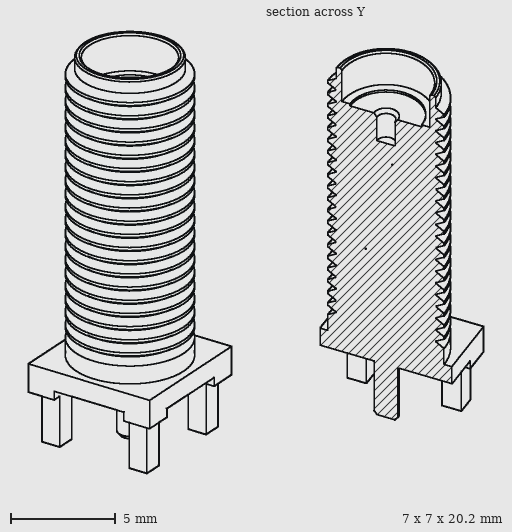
import cadquery as cq

total_height = 20.25
base_width = 7.0
base_bottom = 2.71
base_top = 4.23

relief_width = 4.0
relief_roof_thickness = 1.05
leg_size = 1.03

thread_diameter = 6.2
neck_diameter = 5.3
collar_height = 0.95
neck_length = 0.7
crest_width = 0.16
ridge_count = 20
collar_top = base_top + collar_height
neck_bottom = total_height - neck_length
thread_pitch = (neck_bottom - collar_top + crest_width / 2) / (ridge_count + 0.5)
flank_height = (thread_pitch - crest_width) / 2
rim_chamfer_height = 0.1
rim_chamfer_width = 0.08

bore_diameter = 4.65
bore_depth = 1.98
mouth_chamfer = 0.1
seat_diameter = 3.8
seat_depth = 0.12

pin_diameter = 1.28
tip_diameter = 0.95
tip_chamfer_height = 0.2
tip_chamfer_width = (pin_diameter - tip_diameter) / 2
contact_hole_depth = 1.62


def make_base():
    """Square plate on four corner legs, relieved by a cross-shaped channel."""
    base = cq.Workplane("XY").workplane(offset=base_bottom).rect(base_width, base_width)
    base = base.extrude(base_top - base_bottom)
    relief_height = base_top - relief_roof_thickness - base_bottom
    for length_x, length_y in ((base_width, relief_width), (relief_width, base_width)):
        channel = cq.Workplane("XY").workplane(offset=base_bottom).rect(length_x, length_y)
        base = base.cut(channel.extrude(relief_height))
    leg_spacing = relief_width + leg_size
    legs = (
        cq.Workplane("XY")
        .rect(leg_spacing, leg_spacing, forConstruction=True)
        .vertices()
        .rect(leg_size, leg_size)
        .extrude(base_bottom)
    )
    return base.union(legs)


def make_barrel():
    """Revolved barrel with a collar, ridges and a plain neck."""
    crest_radius = thread_diameter / 2
    root_radius = neck_diameter / 2
    first_root = collar_top + flank_height
    outline = [(0, base_top), (crest_radius, base_top), (crest_radius, collar_top)]
    for ridge in range(ridge_count):
        root = first_root + ridge * thread_pitch
        outline += [
            (root_radius, root),
            (crest_radius, root + flank_height),
            (crest_radius, root + flank_height + crest_width),
        ]
    outline += [
        (root_radius, neck_bottom),
        (root_radius, total_height - rim_chamfer_height),
        (root_radius - rim_chamfer_width, total_height),
        (0, total_height),
    ]
    return cq.Workplane("XZ").polyline(outline).close().revolve(360, (0, 0), (0, 1))


def make_socket():
    """Space removed from the open end: chamfered bore, seat and contact hole."""
    bore_radius = bore_diameter / 2
    seat_radius = seat_diameter / 2
    hole_radius = tip_diameter / 2
    countersink_radius = pin_diameter / 2
    bore_floor = total_height - bore_depth
    seat_floor = bore_floor - seat_depth
    outline = [
        (0, total_height),
        (bore_radius + mouth_chamfer, total_height),
        (bore_radius, total_height - mouth_chamfer),
        (bore_radius, bore_floor),
        (seat_radius, bore_floor),
        (seat_radius, seat_floor),
        (countersink_radius, seat_floor),
        (hole_radius, seat_floor - tip_chamfer_height),
        (hole_radius, seat_floor - contact_hole_depth),
        (0, seat_floor - contact_hole_depth),
    ]
    return cq.Workplane("XZ").polyline(outline).close().revolve(360, (0, 0), (0, 1))


def make_pin():
    """Round pin hanging below the base, chamfered at its tip."""
    pin = cq.Workplane("XY").circle(pin_diameter / 2).extrude(base_top)
    return pin.faces("<Z").chamfer(tip_chamfer_height, tip_chamfer_width)


result = make_base().union(make_barrel()).union(make_pin()).cut(make_socket())